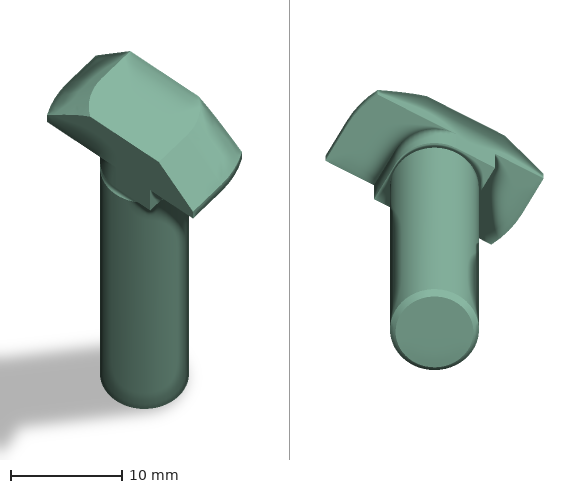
import cadquery as cq

total_height = 40.0
head_length = 18.0
shank_diameter = 8.0
width = shank_diameter

head_height = 5.0
rim_height = 1.0
bevel = head_height - rim_height
neck_height = 3.0

undercut_diameter = 7.0
shank_chamfer = (shank_diameter - undercut_diameter) / 2
undercut_height = shank_chamfer

head_radius = head_length / 2
half_width = width / 2
head_bottom = total_height - head_height
neck_bottom = head_bottom - neck_height
shank_top = neck_bottom - undercut_height
undercut_radius = undercut_diameter / 2
shank_radius = shank_diameter / 2


def quadrant_pair(x_sign):
    """Full-height blocks over two opposite quadrants; x_sign is the X side of the one at +Y."""
    x = x_sign * head_radius / 2
    y = half_width / 2
    return (
        cq.Workplane("XY")
        .pushPoints([(x, y), (-x, -y)])
        .rect(head_radius, half_width)
        .extrude(total_height)
    )


def head_half_profile():
    """Head outline from the axis outwards, in the XZ plane."""
    return (
        cq.Workplane("XZ")
        .moveTo(0, head_bottom)
        .lineTo(head_radius, head_bottom)
        .lineTo(head_radius, head_bottom + rim_height)
        .lineTo(head_radius - bevel, total_height)
        .lineTo(0, total_height)
        .close()
    )


def make_head():
    """T-head with two conical corners, so that it can turn in a slot."""
    half_prism = head_half_profile().extrude(half_width, both=True)
    prism = half_prism.union(half_prism.mirror("YZ"))
    cone = head_half_profile().revolve(360, (0, 0, 0), (0, 1, 0))
    square_part = prism.intersect(quadrant_pair(-1))
    round_part = cone.intersect(quadrant_pair(1))
    return square_part.union(round_part)


def make_neck():
    """Square neck with the same two corners rounded to the shank radius."""
    plane = cq.Workplane("XY").workplane(offset=neck_bottom)
    square = plane.rect(width, width).extrude(neck_height)
    cylinder = plane.circle(shank_radius).extrude(neck_height)
    return cylinder.union(square.intersect(quadrant_pair(-1)))


def make_shank():
    """Round shank with a chamfer at both ends and a short undercut on top."""
    return (
        cq.Workplane("XZ")
        .lineTo(undercut_radius, 0)
        .lineTo(shank_radius, shank_chamfer)
        .lineTo(shank_radius, shank_top - shank_chamfer)
        .lineTo(undercut_radius, shank_top)
        .lineTo(undercut_radius, neck_bottom)
        .lineTo(0, neck_bottom)
        .close()
        .revolve(360, (0, 0, 0), (0, 1, 0))
    )


result = make_head().union(make_neck()).union(make_shank())